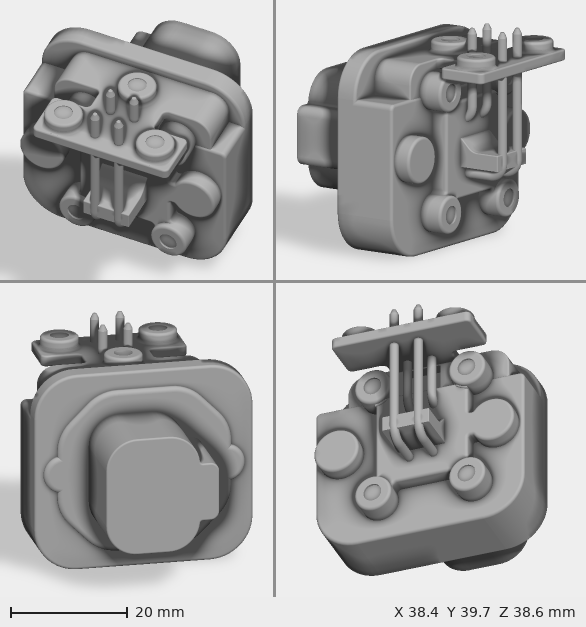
import cadquery as cq
import math


HOUSING_WIDTH = 38.35
HOUSING_HEIGHT = 35.25
HOUSING_CORNER = 7.55
FLANGE_REAR = 7.65
FLANGE_FRONT = 11.55
SHELF_Z = HOUSING_HEIGHT - HOUSING_CORNER
SHELF_CORNER = 0.95
EDGE_ROUND = 0.5
MID_Z = 17.6

TERMINAL_X = 1.5
BLOCK_WIDTH = 29.6
BLOCK_TOP = 33.5
BLOCK_CORNER = 3.35
BLOCK_REAR = 0.25
THIN_ROUND = 0.3

PLATE_THICKNESS = 1.95
PLATE_BOTTOM = BLOCK_TOP - PLATE_THICKNESS
PLATE_WIDTH = 25.55
PLATE_END = -13.3
PLATE_HEAD_LENGTH = 8.8
STEM_WIDTH = 12.05
PLATE_CORNER = 0.95

SUPPORT_RADIUS = 3.35
SUPPORT_SPACING = 17.3
SUPPORT_HOLE_RADIUS = 1.63
PLATE_SUPPORT_HEIGHT = 2
PLATE_SUPPORT_HOLE_DEPTH = 0.2
PLATE_SUPPORT_PAIR_Y = -9.25
PLATE_SUPPORT_SINGLE_Y = 2.2
POST_LENGTH = 4.05
POST_HOLE_DEPTH = 0.4
POST_LOWER_Z = 6.95
POST_UPPER_Z = 28.3
SUPPORT_XS = (TERMINAL_X - SUPPORT_SPACING / 2, TERMINAL_X + SUPPORT_SPACING / 2)

PAD_HEIGHT = 2.98
PAD_LEFT = -7.0
PAD_RIGHT = 9.92
PAD_BOTTOM = 8.95
PAD_TOP = 26.15
PAD_BLEND = 0.8
NECK_BLEND = 0.4
RISER_STEP = 1.0
RISER_FACE = -PAD_HEIGHT + RISER_STEP
ROOT_ROUND = 0.28
BOSS_RADIUS = 4.1
BOSS_X = 14.3
NECK_WIDTH = 4.52
WINDOW_WIDTH = 6.23

BRACKET_WIDTH = 8.65
BRACKET_BOTTOM = 14.52
BRACKET_TOP = 17.3
BRACKET_ROOT_TOP = 19.85
BRACKET_SLOPE_START = -2.8
BRACKET_END = -10.67
BRACKET_BEND = 2.5
BRACKET_ROUND = 0.2

PIN_RADIUS = 0.8
PIN_TIP_RADIUS = 0.35
PIN_TIP_LENGTH = 0.95
PIN_TOP = 38.55
PIN_SPACING = 4.45
PIN_BEND = 2.4
REAR_PIN_Y = -10.25
REAR_PIN_LEG_Z = 13.1
FRONT_PIN_Y = -3.93
FRONT_PIN_LEG_Z = 22.45

GASKET_FRONT = 12.5
GASKET_HALF_WIDTH = 15.28
GASKET_HALF_HEIGHT = 14.52
GASKET_BEVEL = 7.45
GASKET_CORNER = 7.4
GASKET_LOBE_RADIUS = 3.37
GASKET_ROUND = 0.87

PLUG_FRONT = 26.4
PLUG_HALF_WIDTH = 9.92
PLUG_HALF_HEIGHT = 10.45
PLUG_CORNER = 5.48
KEY_STEP_X = -6.6
KEY_HALF_HEIGHT = 5.15
KEY_CORNER = 1.55
KEY_BLEND = 0.5

MARGIN = 0.4
OVERLAP = 0.8


def rear_plane(y):
    """Sketch plane at the given Y whose local axes are X and Z; it extrudes towards -Y."""
    return cq.Workplane("XZ", origin=(0, y, 0))


def box(x_range, y_range, z_range):
    size = [high - low for low, high in (x_range, y_range, z_range)]
    return cq.Workplane().box(*size, centered=False).translate((x_range[0], y_range[0], z_range[0]))


def across(width):
    """X range of the given width, centred on the terminals."""
    return (TERMINAL_X - width / 2, TERMINAL_X + width / 2)


def make_housing():
    flange = (
        rear_plane(FLANGE_FRONT)
        .center(0, HOUSING_HEIGHT / 2)
        .rect(HOUSING_WIDTH, HOUSING_HEIGHT)
        .extrude(FLANGE_FRONT - FLANGE_REAR)
        .edges("|Y")
        .fillet(HOUSING_CORNER)
        .faces("<Y or >Y")
        .edges()
        .fillet(EDGE_ROUND)
    )
    body_front = (FLANGE_FRONT + FLANGE_REAR) / 2
    body = (
        rear_plane(body_front)
        .center(0, SHELF_Z / 2)
        .rect(HOUSING_WIDTH, SHELF_Z)
        .extrude(body_front)
        .edges("|Y and <Z")
        .fillet(HOUSING_CORNER)
        .edges("|Y and >Z")
        .fillet(SHELF_CORNER)
        .faces("<Y")
        .edges()
        .fillet(EDGE_ROUND)
    )
    return flange.union(body)


def make_block_and_plate():
    """Block with the T-shaped plate growing out of its rear face, flush with its top."""
    block_base = SHELF_Z - OVERLAP - EDGE_ROUND
    block = (
        rear_plane(FLANGE_REAR + OVERLAP)
        .center(TERMINAL_X, (BLOCK_TOP + block_base) / 2)
        .rect(BLOCK_WIDTH, BLOCK_TOP - block_base)
        .extrude(FLANGE_REAR + OVERLAP - BLOCK_REAR)
        .edges("|Y and >Z")
        .fillet(BLOCK_CORNER)
    )
    solid = block.union(make_plate())
    for side in (-1, 1):
        solid = solid.union(make_stem_flare(side))
    rear_outline = cq.selectors.BoxSelector(
        (-HOUSING_WIDTH, PLATE_END - MARGIN, PLATE_BOTTOM),
        (HOUSING_WIDTH, BLOCK_REAR + THIN_ROUND, BLOCK_TOP + MARGIN),
    )
    return solid.faces(">Z").edges(rear_outline).fillet(THIN_ROUND)


def make_plate():
    """Head and stem of the plate; the stem is sunk into the block."""
    thickness = (PLATE_BOTTOM, BLOCK_TOP)
    head = box(across(PLATE_WIDTH), (PLATE_END, PLATE_END + PLATE_HEAD_LENGTH), thickness)
    stem = box(across(STEM_WIDTH), (PLATE_END, BLOCK_REAR + OVERLAP), thickness)
    plate = head.union(stem).edges("|Z and (not >Y)").fillet(PLATE_CORNER)
    return plate.faces("<Z").edges("not >Y").fillet(THIN_ROUND)


def make_stem_flare(side):
    """Concave corner between one side of the stem and the rear face of the block."""
    stem_x = TERMINAL_X + side * STEM_WIDTH / 2
    outer_x = stem_x + side * PLATE_CORNER
    return (
        cq.Workplane("XY", origin=(0, 0, PLATE_BOTTOM + THIN_ROUND))
        .moveTo(stem_x, BLOCK_REAR - PLATE_CORNER)
        .radiusArc((outer_x, BLOCK_REAR), side * PLATE_CORNER)
        .lineTo(outer_x, BLOCK_REAR + OVERLAP)
        .lineTo(stem_x - side * OVERLAP, BLOCK_REAR + OVERLAP)
        .lineTo(stem_x - side * OVERLAP, BLOCK_REAR - PLATE_CORNER)
        .close()
        .extrude(PLATE_THICKNESS - THIN_ROUND)
    )


def make_plate_support(x, y):
    """Round support on the plate: rounded rim, shallow centre hole and a flared root."""
    flare_radius = SUPPORT_RADIUS + EDGE_ROUND
    hole_floor = PLATE_SUPPORT_HEIGHT - PLATE_SUPPORT_HOLE_DEPTH
    profile = (
        cq.Workplane("XZ", origin=(x, y, BLOCK_TOP))
        .moveTo(0, -OVERLAP)
        .lineTo(flare_radius, -OVERLAP)
        .lineTo(flare_radius, 0)
        .radiusArc((SUPPORT_RADIUS, EDGE_ROUND), EDGE_ROUND)
        .lineTo(SUPPORT_RADIUS, PLATE_SUPPORT_HEIGHT - EDGE_ROUND)
        .radiusArc((SUPPORT_RADIUS - EDGE_ROUND, PLATE_SUPPORT_HEIGHT), -EDGE_ROUND)
        .lineTo(SUPPORT_HOLE_RADIUS, PLATE_SUPPORT_HEIGHT)
        .lineTo(SUPPORT_HOLE_RADIUS, hole_floor)
        .lineTo(0, hole_floor)
        .close()
    )
    return profile.revolve(360, (0, 0, 0), (0, 1, 0))


def make_post(x, z):
    post = rear_plane(OVERLAP).center(x, z).circle(SUPPORT_RADIUS).extrude(OVERLAP + POST_LENGTH)
    post = post.faces("<Y").edges().fillet(EDGE_ROUND)
    hole = rear_plane(-POST_LENGTH + POST_HOLE_DEPTH).center(x, z).circle(SUPPORT_HOLE_RADIUS)
    return post.cut(hole.extrude(POST_HOLE_DEPTH))


def disc(x, z, radius):
    """Plain cylinder of the pad height, standing on the rear face."""
    return rear_plane(OVERLAP).center(x, z).circle(radius).extrude(OVERLAP + PAD_HEIGHT)


def make_pad():
    depth = (-PAD_HEIGHT, OVERLAP)
    pad = box((PAD_LEFT, PAD_RIGHT), depth, (PAD_BOTTOM, PAD_TOP))
    pad = pad.union(box((PAD_LEFT, BOSS_X), depth, (MID_Z - NECK_WIDTH / 2, MID_Z + NECK_WIDTH / 2)))
    pad = pad.union(disc(BOSS_X, MID_Z, BOSS_RADIUS))
    for x in SUPPORT_XS:
        pad = pad.union(disc(x, POST_LOWER_Z, SUPPORT_RADIUS))
    post_corners = cq.selectors.BoxSelector(
        (PAD_LEFT - MARGIN, -PAD_HEIGHT, PAD_BOTTOM - MARGIN),
        (PAD_RIGHT + MARGIN, OVERLAP, POST_LOWER_Z + SUPPORT_RADIUS + MARGIN),
    )
    neck_corners = cq.selectors.BoxSelector(
        (PAD_RIGHT - MARGIN, -PAD_HEIGHT, MID_Z - NECK_WIDTH),
        (BOSS_X - MARGIN, OVERLAP, MID_Z + NECK_WIDTH),
    )
    pad = pad.edges("|Y").edges(post_corners).fillet(PAD_BLEND)
    pad = pad.edges("|Y").edges(neck_corners).fillet(NECK_BLEND)
    return pad.faces("<Y").edges().fillet(EDGE_ROUND)


def make_riser():
    """Lower level above the pad, reaching the plate underside, with a window behind the front pins."""
    riser = box(across(STEM_WIDTH), (RISER_FACE, OVERLAP), (PAD_TOP - OVERLAP, PLATE_BOTTOM))
    riser = riser.edges("|X and <Y and >Z").fillet(EDGE_ROUND)
    window = box(across(WINDOW_WIDTH), (RISER_FACE, OVERLAP), (PAD_TOP, PLATE_BOTTOM - EDGE_ROUND))
    return riser.cut(window)


def make_root_fillets():
    """Concave rings where the upper posts rise from the pad and from the riser."""
    levels = [
        (-PAD_HEIGHT, (PAD_LEFT, PAD_RIGHT), (PAD_BOTTOM, PAD_TOP - EDGE_ROUND)),
        (RISER_FACE, across(STEM_WIDTH), (PAD_TOP, PLATE_BOTTOM - EDGE_ROUND)),
    ]
    rings = cq.Workplane()
    for face, x_range, z_range in levels:
        extent = box(x_range, (face - ROOT_ROUND, face + ROOT_ROUND), z_range)
        for x in SUPPORT_XS:
            ring = (
                cq.Workplane("XY", origin=(x, 0, POST_UPPER_Z))
                .moveTo(SUPPORT_RADIUS - ROOT_ROUND, face - ROOT_ROUND)
                .lineTo(SUPPORT_RADIUS, face - ROOT_ROUND)
                .radiusArc((SUPPORT_RADIUS + ROOT_ROUND, face), -ROOT_ROUND)
                .lineTo(SUPPORT_RADIUS + ROOT_ROUND, face + ROOT_ROUND)
                .lineTo(SUPPORT_RADIUS - ROOT_ROUND, face + ROOT_ROUND)
                .close()
                .revolve(360, (0, 0, 0), (0, 1, 0))
            )
            rings = rings.add(ring.intersect(extent))
    return rings.combine()


def make_boss():
    return disc(-BOSS_X, MID_Z, BOSS_RADIUS).faces("<Y").edges().fillet(EDGE_ROUND)


def make_bracket():
    slope_foot = BRACKET_SLOPE_START - (BRACKET_ROOT_TOP - BRACKET_TOP)
    bracket = (
        cq.Workplane("YZ", origin=(TERMINAL_X - BRACKET_WIDTH / 2, 0, 0))
        .polyline(
            [
                (0, BRACKET_BOTTOM),
                (BRACKET_END, BRACKET_BOTTOM),
                (BRACKET_END, BRACKET_TOP),
                (slope_foot, BRACKET_TOP),
                (BRACKET_SLOPE_START, BRACKET_ROOT_TOP),
                (0, BRACKET_ROOT_TOP),
            ]
        )
        .close()
        .extrude(BRACKET_WIDTH)
    )
    slope_ends = cq.selectors.BoxSelector(
        (-HOUSING_WIDTH, slope_foot - MARGIN, BRACKET_TOP - MARGIN),
        (HOUSING_WIDTH, BRACKET_SLOPE_START + MARGIN, BRACKET_ROOT_TOP + MARGIN),
    )
    bracket = bracket.edges("|X").edges(slope_ends).fillet(BRACKET_BEND)
    return bracket.edges("(not >Y) and (not <Z)").fillet(BRACKET_ROUND)


def make_pin(x, y, leg_z):
    """Bent round pin: tapered tip up, then a bend and a level leg running into the pad."""
    shoulder = PIN_TOP - PIN_TIP_LENGTH
    bend_mid = PIN_BEND * (1 - math.sqrt(0.5))
    path = (
        cq.Workplane("YZ", origin=(x, 0, 0))
        .moveTo(y, shoulder)
        .lineTo(y, leg_z + PIN_BEND)
        .threePointArc((y + bend_mid, leg_z + bend_mid), (y + PIN_BEND, leg_z))
        .lineTo(-PAD_HEIGHT + 2 * OVERLAP, leg_z)
    )
    shaft = cq.Workplane("XY", origin=(x, y, shoulder)).circle(PIN_RADIUS).sweep(path)
    tip = (
        cq.Workplane("XY", origin=(x, y, shoulder))
        .circle(PIN_RADIUS)
        .workplane(offset=PIN_TIP_LENGTH)
        .circle(PIN_TIP_RADIUS)
        .loft()
    )
    return shaft.union(tip)


def make_gasket():
    thickness = GASKET_FRONT - FLANGE_FRONT
    gasket = (
        rear_plane(GASKET_FRONT)
        .center(0, MID_Z)
        .rect(2 * GASKET_HALF_WIDTH, 2 * GASKET_HALF_HEIGHT)
        .extrude(thickness + OVERLAP)
        .edges("|Y")
        .chamfer(GASKET_BEVEL)
        .edges("|Y")
        .fillet(GASKET_CORNER)
    )
    lobes = (
        rear_plane(GASKET_FRONT)
        .pushPoints([(-BOSS_X, MID_Z), (BOSS_X, MID_Z)])
        .circle(GASKET_LOBE_RADIUS)
        .extrude(thickness + OVERLAP)
    )
    return gasket.union(lobes).faces(">Y").edges().fillet(GASKET_ROUND)


def make_plug():
    depth = PLUG_FRONT - FLANGE_FRONT
    core_width = PLUG_HALF_WIDTH - KEY_STEP_X
    core = (
        rear_plane(PLUG_FRONT)
        .center(KEY_STEP_X + core_width / 2, MID_Z)
        .rect(core_width, 2 * PLUG_HALF_HEIGHT)
        .extrude(depth)
        .edges("|Y")
        .fillet(PLUG_CORNER)
    )
    key = (
        rear_plane(PLUG_FRONT)
        .center(-PLUG_HALF_WIDTH / 2, MID_Z)
        .rect(PLUG_HALF_WIDTH, 2 * KEY_HALF_HEIGHT)
        .extrude(depth)
        .edges("|Y and <X")
        .fillet(KEY_CORNER)
    )
    steps = cq.selectors.BoxSelector(
        (KEY_STEP_X - MARGIN, FLANGE_FRONT, 0),
        (KEY_STEP_X + MARGIN, PLUG_FRONT, HOUSING_HEIGHT),
    )
    plug = core.union(key).edges("|Y").edges(steps).fillet(KEY_BLEND)
    return plug.faces(">Y").edges().fillet(THIN_ROUND)


result = make_housing().union(make_block_and_plate()).union(make_gasket()).union(make_plug())
result = result.union(make_pad()).union(make_riser()).union(make_boss())
result = result.union(make_bracket())
result = result.union(make_plate_support(TERMINAL_X, PLATE_SUPPORT_SINGLE_Y))
for support_x in SUPPORT_XS:
    result = result.union(make_plate_support(support_x, PLATE_SUPPORT_PAIR_Y))
    for post_z in (POST_LOWER_Z, POST_UPPER_Z):
        result = result.union(make_post(support_x, post_z))
result = result.union(make_root_fillets())
for side in (-1, 1):
    pin_x = TERMINAL_X + side * PIN_SPACING / 2
    result = result.union(make_pin(pin_x, REAR_PIN_Y, REAR_PIN_LEG_Z))
    result = result.union(make_pin(pin_x, FRONT_PIN_Y, FRONT_PIN_LEG_Z))